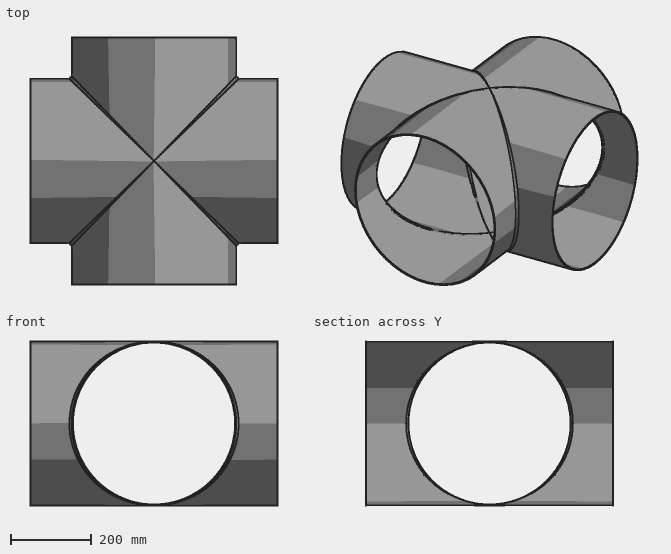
import cadquery as cq
import math

length = 610.0
outer_diameter = 406.0
bore_diameter = 400.0
wall = (outer_diameter - bore_diameter) / 2
bead_leg = 2 * wall
root_leg = 2 * wall
wedge_margin = 2
seam_angles = (45, 135, 225, 315)


def crossed_cylinders(diameter):
    """Two equal cylinders crossing at the origin, along X and along Y."""
    along_x = cq.Workplane("YZ").circle(diameter / 2).extrude(length / 2, both=True)
    along_y = cq.Workplane("XZ").circle(diameter / 2).extrude(length / 2, both=True)
    return along_x.union(along_y)


def seam_wedge(diameter, leg):
    """Wedge that flattens one seam, pointing along +X.

    Two equal cylinders meet in an ellipse on a diagonal plane. Widening that ellipse
    gives the flat seam face, which fades out at the top and bottom.
    """
    radius = diameter / 2
    face_height = leg / math.sqrt(2)
    reach = math.sqrt(2) * radius + face_height
    half_width = wedge_margin * face_height

    slab = cq.Workplane("XZ").ellipse(reach, radius).extrude(half_width, both=True)
    triangle = (
        cq.Workplane("XY")
        .polyline([(0, 0), (reach, -half_width), (reach, half_width)])
        .close()
        .extrude(diameter, both=True)
    )
    return slab.intersect(triangle)


def cross_with_seams(diameter, leg):
    """Crossed cylinders with all four seams flattened."""
    cross = crossed_cylinders(diameter)
    wedge = seam_wedge(diameter, leg)
    for angle in seam_angles:
        cross = cross.union(wedge.rotate((0, 0, 0), (0, 0, 1), angle))
    return cross


outside = cross_with_seams(outer_diameter, bead_leg)
inside = cross_with_seams(bore_diameter, root_leg)
result = outside.cut(inside)